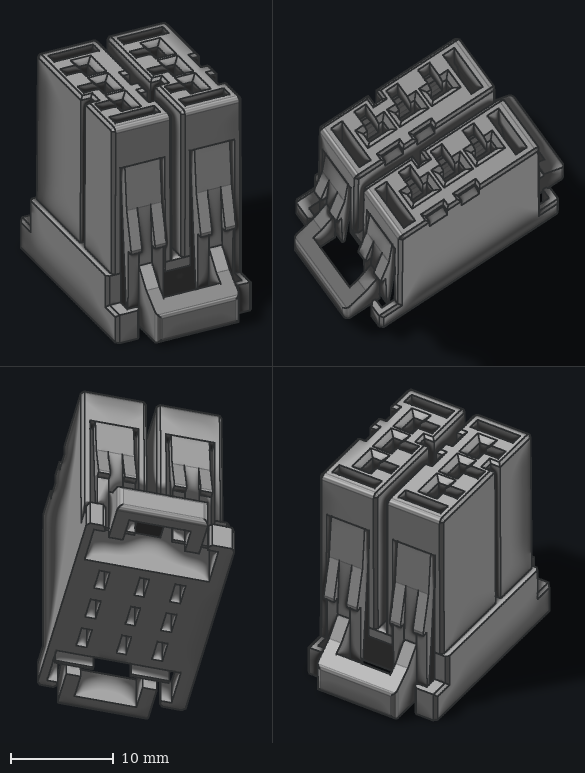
import cadquery as cq
import math

TOTAL_HEIGHT = 22.8
HANDLE_SPAN = 26.07
BACK_Y = 7.1
FRONT_Y = -7.75
EDGE_CHAMFER = 0.3
ALMOST_FULL = 0.999

ROW_PITCH = 7.59
ROW_CENTRES = (ROW_PITCH / 2, -ROW_PITCH / 2)
TOWER_TOP_HALF_LENGTH = 8.32
TOWER_BOTTOM_HALF_LENGTH = 8.42
TOWER_TOP_FRONT = -3.23
TOWER_BOTTOM_FRONT = -3.34
TOWER_BACK = BACK_Y - ROW_PITCH / 2
SIDE_TOP_FILLET = 0.52
BASE_HEIGHT = 6.45

FLANGE_HEIGHT = 3.18
FLANGE_HALF_LENGTH = 10.6
LIP_WIDTH = 0.7
LIP_INNER_Y = 5.15

GROOVE_CENTRE_X = 1.88
GROOVE_WIDTH = 0.96
GROOVE_DEPTH = 1.07

NOTCH_XS = (0.0, 3.78)
NOTCH_HALF_WIDTH = 1.05
NOTCH_DEPTH = 0.73
NOTCH_INNER_DROP = 0.78

CONTACT_PITCH = 3.78
CONTACT_XS = (-CONTACT_PITCH, 0.0, CONTACT_PITCH)
CAVITY_LENGTH = 2.3
CAVITY_WIDTH = 1.05
CAVITY_OFFSET_Y = 0.18
FUNNEL_MARGIN = 0.57
FUNNEL_DEPTH = 0.57
LANCE_SLOT_WIDTH = 1.35
LANCE_TOP_DROP = 3.13
LANCE_PROFILE = (
    (-0.35, 0.0),
    (-0.78, 0.0),
    (-1.25, 0.05),
    (-1.62, 0.05),
    (-2.3, -0.23),
    (-2.55, -0.23),
)

POCKET_INNER_X = 5.97
POCKET_OUTER_X = 7.3
POCKET_WIDTH = 4.88
POCKETS_REACH_Y = (ROW_PITCH + POCKET_WIDTH) / 2
WINDOW_TOP = 18.25
BRIDGE_BOTTOM = 5.37

ARM_WIDTH = 3.83
ARM_BOTTOM = 1.75
ARM_OUTER_X = 8.97
ARM_STRIP_X = 9.02
ARM_FLEX_X = 9.07
ARM_BOTTOM_INNER_X = 8.68
HOOK_TOP = 13.55
HOOK_TOP_X = 8.7
HOOK_NOSE = 9.45
HOOK_BOTTOM = 9.05
HOOK_TIP_X = 9.67

HANDLE_HALF_WIDTH = 4.54
LEG_WIDTH = 1.43
HANDLE_BAR_INNER_X = 11.55
HANDLE_BOTTOM = 0.36
HANDLE_ROOT_Z = 7.17
HANDLE_BEND_X = 10.6
HANDLE_BEND_Z = 5.25
HANDLE_END_Z = 3.45
HANDLE_FILLET = 0.52


def box(x0, x1, y0, y1, z0, z1):
    """Box between two opposite corners."""
    return cq.Workplane("XY").box(x1 - x0, y1 - y0, z1 - z0, centered=False).translate((x0, y0, z0))


def along_y(points, y0, y1):
    """Extrude an XZ outline from y0 to y1."""
    return cq.Workplane("XZ", origin=(0, y1, 0)).polyline(points).close().extrude(y1 - y0)


def along_x(points, x0, x1):
    """Extrude a YZ outline from x0 to x1."""
    return cq.Workplane("YZ", origin=(x0, 0, 0)).polyline(points).close().extrude(x1 - x0)


def both_ends(body):
    """The body together with its mirror image at the other end in X."""
    return body.union(body.mirror("YZ"))


def rim_bevel(x0, x1, y0, y1, open_side):
    """Cutter that widens an opening at the tower top by a 45 degree rim, except on its open side."""
    rim = box(x0 - EDGE_CHAMFER, x1 + EDGE_CHAMFER, y0, y1, TOTAL_HEIGHT - EDGE_CHAMFER, TOTAL_HEIGHT)
    rim_size = EDGE_CHAMFER * ALMOST_FULL
    return rim.faces("<Z").edges(f"not {open_side}").chamfer(rim_size)


def make_tower(row_y):
    """Drafted tower with bevelled edges, rounded top ends and the key groove."""
    back = row_y + TOWER_BACK
    front_top = row_y + TOWER_TOP_FRONT
    front_bottom = row_y + TOWER_BOTTOM_FRONT
    length_outline = [
        (-TOWER_BOTTOM_HALF_LENGTH, 0),
        (TOWER_BOTTOM_HALF_LENGTH, 0),
        (TOWER_TOP_HALF_LENGTH, TOTAL_HEIGHT),
        (-TOWER_TOP_HALF_LENGTH, TOTAL_HEIGHT),
    ]
    depth_outline = [
        (front_bottom, 0),
        (back, 0),
        (back, TOTAL_HEIGHT),
        (front_top, TOTAL_HEIGHT),
    ]
    tower = along_y(length_outline, front_bottom, back)
    tower = tower.intersect(along_x(depth_outline, -FLANGE_HALF_LENGTH, FLANGE_HALF_LENGTH))
    slightly_leaning_edges = "not(#Z or |X or |Y)"
    tower = tower.edges(slightly_leaning_edges).chamfer(EDGE_CHAMFER)
    tower = tower.faces(">Z").edges("|Y").edges("<X or >X").fillet(SIDE_TOP_FILLET)
    tower = tower.faces(">Z").edges("not |Y").chamfer(EDGE_CHAMFER)

    groove_left = GROOVE_CENTRE_X - GROOVE_WIDTH / 2
    groove_right = GROOVE_CENTRE_X + GROOVE_WIDTH / 2
    groove_back = front_top + GROOVE_DEPTH
    groove = box(groove_left, groove_right, front_bottom, groove_back, BASE_HEIGHT, TOTAL_HEIGHT)
    rim = rim_bevel(groove_left, groove_right, front_bottom, groove_back + EDGE_CHAMFER, "<Y")
    return tower.cut(groove).cut(rim)


def make_notches(row_y):
    """Cutters for the bevelled notches with a sloped floor in the top back edge."""
    back = row_y + TOWER_BACK
    inner = back - NOTCH_DEPTH
    floor_outline = [
        (inner, TOTAL_HEIGHT),
        (inner, TOTAL_HEIGHT - NOTCH_INNER_DROP),
        (back, TOTAL_HEIGHT - NOTCH_INNER_DROP - NOTCH_DEPTH),
        (back, TOTAL_HEIGHT),
    ]
    cutters = cq.Workplane("XY")
    for x in NOTCH_XS:
        left = x - NOTCH_HALF_WIDTH
        right = x + NOTCH_HALF_WIDTH
        rim = rim_bevel(left, right, inner - EDGE_CHAMFER, back, ">Y")
        cutters = cutters.union(along_x(floor_outline, left, right)).union(rim)
    return cutters


def make_cavities(row_y):
    """Cutters for the contact holes, their funnels and the slots above the locking lances."""
    centre_y = row_y + CAVITY_OFFSET_Y
    lance_top = TOTAL_HEIGHT - LANCE_TOP_DROP
    slot_front = row_y + LANCE_PROFILE[-1][0]
    slot_outline = [(slot_front, TOTAL_HEIGHT), (centre_y, TOTAL_HEIGHT), (centre_y, lance_top)]
    for offset_y, rise in LANCE_PROFILE:
        slot_outline.append((row_y + offset_y, lance_top + rise))

    cutters = cq.Workplane("XY")
    for x in CONTACT_XS:
        hole = box(
            x - CAVITY_LENGTH / 2, x + CAVITY_LENGTH / 2,
            centre_y - CAVITY_WIDTH / 2, centre_y + CAVITY_WIDTH / 2, 0, TOTAL_HEIGHT,
        )
        funnel = (
            cq.Workplane("XY", origin=(x, centre_y, TOTAL_HEIGHT - FUNNEL_DEPTH))
            .rect(CAVITY_LENGTH, CAVITY_WIDTH)
            .workplane(offset=FUNNEL_DEPTH)
            .rect(CAVITY_LENGTH + 2 * FUNNEL_MARGIN, CAVITY_WIDTH + 2 * FUNNEL_MARGIN)
            .loft()
        )
        slot = along_x(slot_outline, x - LANCE_SLOT_WIDTH / 2, x + LANCE_SLOT_WIDTH / 2)
        cutters = cutters.union(hole).union(funnel).union(slot)
    return cutters


def make_flange(depth):
    """Wall on the +Y side with its outer face at Y = depth and a hooked lip at each end."""
    wall = box(-FLANGE_HALF_LENGTH, FLANGE_HALF_LENGTH, POCKETS_REACH_Y, depth, 0, FLANGE_HEIGHT)
    lip_inner_x = FLANGE_HALF_LENGTH - LIP_WIDTH
    lip = box(lip_inner_x, FLANGE_HALF_LENGTH, LIP_INNER_Y, depth, 0, FLANGE_HEIGHT)
    flange = wall.union(both_ends(lip))
    flange = flange.edges("|Z").edges("<X or >X").chamfer(EDGE_CHAMFER)
    return flange.faces(">Y").edges(">Z").chamfer(EDGE_CHAMFER)


def make_base():
    """Raised front wall, back and front flanges, and the web joining the two rows."""
    front_wall = box(
        -TOWER_BOTTOM_HALF_LENGTH, TOWER_BOTTOM_HALF_LENGTH,
        FRONT_Y, -POCKETS_REACH_Y, 0, BASE_HEIGHT,
    )
    front_wall = front_wall.faces("<Y").edges("|Z").chamfer(EDGE_CHAMFER)
    web_half_width = (ROW_PITCH - POCKET_WIDTH) / 2
    web = box(
        -TOWER_BOTTOM_HALF_LENGTH, TOWER_BOTTOM_HALF_LENGTH,
        -web_half_width, web_half_width, 0, BASE_HEIGHT,
    )
    gap_back = ROW_CENTRES[0] + TOWER_TOP_FRONT
    gap_front = ROW_CENTRES[1] + TOWER_BACK
    for x in CONTACT_XS:
        hole = box(x - CAVITY_LENGTH / 2, x + CAVITY_LENGTH / 2, gap_front, gap_back, 0, BASE_HEIGHT)
        web = web.cut(hole)
    back_flange = make_flange(BACK_Y)
    front_flange = make_flange(-FRONT_Y).mirror("XZ")
    return front_wall.union(web).union(back_flange).union(front_flange)


def make_end_openings():
    """Cutters at one end: full-height pockets, side windows and the opening under the web."""
    outside = FLANGE_HALF_LENGTH - LIP_WIDTH
    half_pocket = POCKET_WIDTH / 2
    cutters = box(POCKET_INNER_X, outside, -ROW_PITCH / 2, ROW_PITCH / 2, 0, BRIDGE_BOTTOM)
    for row_y in ROW_CENTRES:
        low_y = row_y - half_pocket
        high_y = row_y + half_pocket
        cutters = cutters.union(box(POCKET_INNER_X, POCKET_OUTER_X, low_y, high_y, 0, TOTAL_HEIGHT))
        cutters = cutters.union(box(POCKET_INNER_X, outside, low_y, high_y, 0, WINDOW_TOP))
    return cutters


def make_latch_end():
    """Latch arms of both rows at one end, with their hooks and the handle that joins them."""
    arm_outline = [
        (POCKET_OUTER_X, WINDOW_TOP),
        (TOWER_TOP_HALF_LENGTH, WINDOW_TOP),
        (HOOK_TOP_X, HOOK_TOP),
        (ARM_STRIP_X, HANDLE_ROOT_Z),
        (ARM_OUTER_X, ARM_BOTTOM),
        (ARM_BOTTOM_INNER_X, ARM_BOTTOM),
    ]
    hook_outline = [
        (HOOK_TOP_X, HOOK_TOP),
        (HOOK_TIP_X, HOOK_NOSE),
        (HOOK_TIP_X, HOOK_BOTTOM),
        (ARM_FLEX_X, HOOK_BOTTOM),
        (ARM_OUTER_X, ARM_BOTTOM),
        (ARM_BOTTOM_INNER_X, ARM_BOTTOM),
    ]
    end_x = HANDLE_SPAN / 2
    handle_outline = [
        (ARM_STRIP_X, HANDLE_ROOT_Z),
        (HANDLE_BEND_X, HANDLE_BEND_Z),
        (end_x, HANDLE_END_Z),
        (end_x, HANDLE_BOTTOM),
        (ARM_OUTER_X, HANDLE_BOTTOM),
    ]
    leg_inner_y = HANDLE_HALF_WIDTH - LEG_WIDTH
    handle = along_y(handle_outline, -HANDLE_HALF_WIDTH, HANDLE_HALF_WIDTH)
    handle = handle.faces(">X").edges().fillet(HANDLE_FILLET)
    handle = handle.cut(box(0, HANDLE_BAR_INNER_X, -leg_inner_y, leg_inner_y, 0, TOTAL_HEIGHT))

    latch = handle
    for row_y in ROW_CENTRES:
        low_y = row_y - ARM_WIDTH / 2
        high_y = row_y + ARM_WIDTH / 2
        leg_centre = math.copysign(HANDLE_HALF_WIDTH - LEG_WIDTH / 2, row_y)
        strip = box(
            0, end_x, leg_centre - LEG_WIDTH / 2, leg_centre + LEG_WIDTH / 2, 0, TOTAL_HEIGHT,
        )
        hooks = along_y(hook_outline, low_y, high_y).cut(strip)
        latch = latch.union(along_y(arm_outline, low_y, high_y)).union(hooks)
    return latch


housing = make_base()
for row_centre in ROW_CENTRES:
    tower_body = make_tower(row_centre)
    tower_body = tower_body.cut(make_notches(row_centre))
    housing = housing.union(tower_body).cut(make_cavities(row_centre))
housing = housing.cut(both_ends(make_end_openings()))
result = housing.union(both_ends(make_latch_end()))